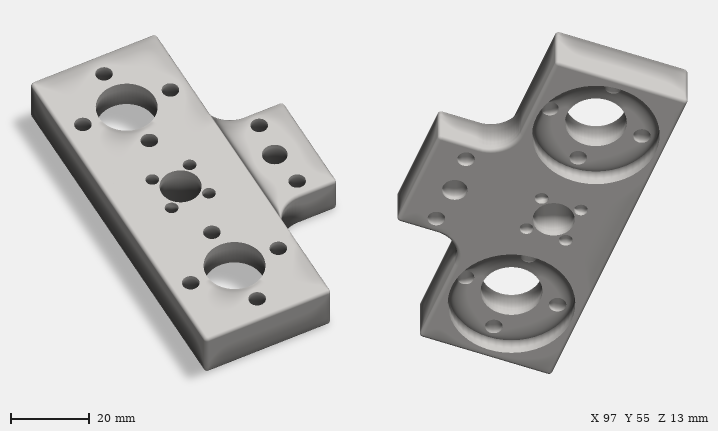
import cadquery as cq

base_length = 97.0
base_width = 36.0
base_height = 13.0
total_width = 55.0
tab_width = 30.0
tab_height = 11.0
edge_radius = 1.0
flare_radius = 8.0
tab_overlap = 3.9

bore_diameter = 15.7
bore_offset = 29.8
recess_diameter = 32.4
recess_depth = 5.0
bolt_diameter = 4.5
bolt_circle_radius = 12.5
center_bore_diameter = 10.7
center_screw_diameter = 3.5
center_screw_offset = 5.3
tab_bore_diameter = 6.5
tab_bore_setback = 10.1
tab_bolt_setback = 9.1
tab_bolt_offset = 10.5

base_back = base_width / 2
tab_back = total_width - base_width / 2


def make_base():
    """Rectangular block with every edge rounded."""
    block = cq.Workplane("XY").box(base_length, base_width, base_height, centered=(True, True, False))
    return block.edges().fillet(edge_radius)


def make_tab():
    """Rear tab whose sides flare tangentially into the back of the base."""
    half_width = tab_width / 2
    root_half_width = half_width + flare_radius
    root_front = base_back - tab_overlap
    flare_start = base_back + flare_radius
    outline = (
        cq.Workplane("XY")
        .moveTo(-root_half_width, root_front)
        .lineTo(-root_half_width, base_back)
        .radiusArc((-half_width, flare_start), -flare_radius)
        .lineTo(-half_width, tab_back)
        .lineTo(half_width, tab_back)
        .lineTo(half_width, flare_start)
        .radiusArc((root_half_width, base_back), -flare_radius)
        .lineTo(root_half_width, root_front)
        .close()
    )
    tab = outline.extrude(tab_height)

    tab = tab.edges("|Z and >Y").fillet(edge_radius)
    rim_zone = cq.selectors.BoxSelector(
        (-root_half_width, base_back, -edge_radius),
        (root_half_width, tab_back + edge_radius, tab_height + edge_radius),
    )
    return tab.faces("<Z or >Z").edges(rim_zone).fillet(edge_radius)


def drill(part, points, diameter, depth=base_height):
    """Cut round holes upward from the underside; the default depth goes right through."""
    drills = cq.Workplane("XY").pushPoints(points).circle(diameter / 2).extrude(depth)
    return part.cut(drills)


def bolt_circle(center_x):
    """Four points around a main bore, on its X and Y axes."""
    r = bolt_circle_radius
    return [(center_x + r, 0), (center_x - r, 0), (center_x, r), (center_x, -r)]


result = make_base().union(make_tab())

for bore_x in (-bore_offset, bore_offset):
    result = drill(result, [(bore_x, 0)], bore_diameter)
    result = drill(result, bolt_circle(bore_x), bolt_diameter)
    result = drill(result, [(bore_x, 0)], recess_diameter, recess_depth)

center_screws = [
    (x_side * center_screw_offset, y_side * center_screw_offset)
    for x_side in (-1, 1)
    for y_side in (-1, 1)
]
result = drill(result, [(0, 0)], center_bore_diameter)
result = drill(result, center_screws, center_screw_diameter)

tab_bolt_y = tab_back - tab_bolt_setback
result = drill(result, [(0, tab_back - tab_bore_setback)], tab_bore_diameter)
result = drill(result, [(-tab_bolt_offset, tab_bolt_y), (tab_bolt_offset, tab_bolt_y)], bolt_diameter)